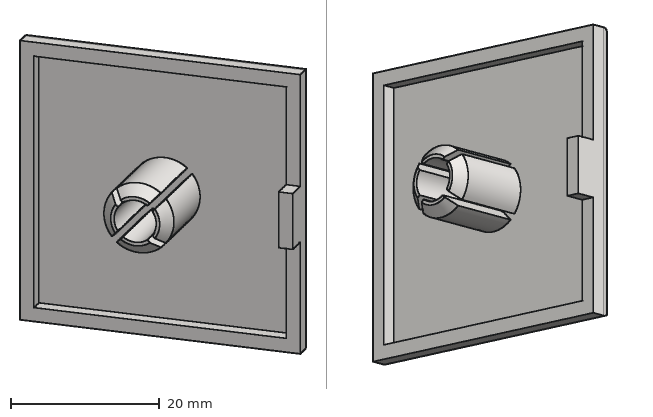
import cadquery as cq

plate_side = 40.0
plate_thickness = 4.0
back_edge_radius = 2.0
rim_width = 2.0
recess_depth = 2.0

peg_diameter = 10.0
peg_bore_diameter = 6.0
peg_projection = 10.0
peg_tip_diameter = 7.0
slot_width = 1.0
slot_angles = (45, 135)

tab_length = 8.0
tab_projection = 3.0

peg_length = peg_projection + recess_depth
peg_tip_chamfer = (peg_diameter - peg_tip_diameter) / 2


def block_on_plane(y, width, height, depth):
    """Box centred on the Y axis, running from y toward -Y by depth."""
    return cq.Workplane("XZ", origin=(0, y, 0)).rect(width, height).extrude(depth)


def make_plate():
    plate = block_on_plane(plate_thickness, plate_side, plate_side, plate_thickness)
    plate = plate.faces(">Y").edges().fillet(back_edge_radius)
    recess_side = plate_side - 2 * rim_width
    return plate.cut(block_on_plane(recess_depth, recess_side, recess_side, recess_depth))


def make_peg():
    base = cq.Workplane("XZ", origin=(0, recess_depth, 0))
    peg = base.circle(peg_diameter / 2).extrude(peg_length)
    peg = peg.faces("<Y").edges().chamfer(peg_tip_chamfer)
    peg = peg.cut(base.circle(peg_bore_diameter / 2).extrude(peg_length))
    slot = block_on_plane(recess_depth, peg_diameter, slot_width, peg_length)
    for angle in slot_angles:
        peg = peg.cut(slot.rotate((0, 0, 0), (0, 1, 0), angle))
    return peg


def make_tab():
    tab = block_on_plane(recess_depth, rim_width, tab_length, recess_depth + tab_projection)
    return tab.translate(((plate_side - rim_width) / 2, 0, 0))


result = make_plate().union(make_peg()).union(make_tab())